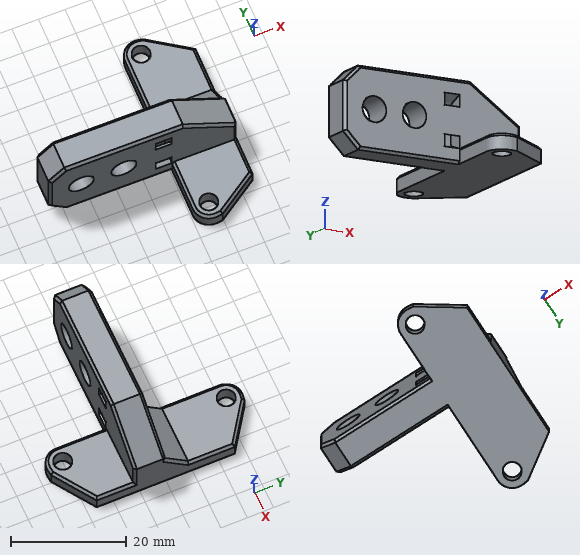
import cadquery as cq
import math

length = 35.27
width = 37.05
height = 15.2
edge_chamfer = 0.52

wall_thickness = 6.0
end_bevel = 3.0
slope_start_x = 25.25
slope_end_z = 8.3
wall_hole_diameter = 4.7
wall_hole_xs = (6.0, 14.0)
mid_z = height / 2

flange_left_x = 23.05
flange_thickness = 3.0
flange_front_y = -12.52
flange_back_y = flange_front_y + width
ear_radius = 3.0
ear_center_x = flange_left_x + ear_radius
ear_flat = 0.35
ear_hole_diameter = 3.3
taper_end_inset = 5.4
taper_start_inset = 0.15
taper_start_x = 27.5
gusset_run = 4.45

channel_left_x = 20.0
channel_width = 3.0
channel_outer = 4.85
channel_gap = 2.22
channel_depth = 3.15
channel_radius = 1.05
channel_slope = math.radians(20)


def make_wall():
    """Bevelled upright plate with chamfered edges around both faces."""
    outline = [
        (0, end_bevel),
        (end_bevel, 0),
        (length, 0),
        (length, slope_end_z),
        (slope_start_x, height),
        (end_bevel, height),
        (0, height - end_bevel),
    ]
    plate = cq.Workplane("XZ").polyline(outline).close().extrude(-wall_thickness)
    return plate.faces("<Y or >Y").edges().chamfer(edge_chamfer)


def make_flange():
    """Base plate with two rounded ears, chamfered around its top face."""
    diagonal = ear_radius * math.sqrt(0.5)
    front_center_y = flange_front_y + ear_radius
    back_center_y = flange_back_y - ear_radius
    flat_end_x = ear_center_x + ear_flat
    return (
        cq.Workplane("XY")
        .moveTo(flange_left_x, front_center_y)
        .threePointArc(
            (ear_center_x - diagonal, front_center_y - diagonal),
            (ear_center_x, flange_front_y),
        )
        .lineTo(flat_end_x, flange_front_y)
        .lineTo(taper_start_x, flange_front_y + taper_start_inset)
        .lineTo(length, flange_front_y + taper_end_inset)
        .lineTo(length, flange_back_y - taper_end_inset)
        .lineTo(taper_start_x, flange_back_y - taper_start_inset)
        .lineTo(flat_end_x, flange_back_y)
        .lineTo(ear_center_x, flange_back_y)
        .threePointArc(
            (ear_center_x - diagonal, back_center_y + diagonal),
            (flange_left_x, back_center_y),
        )
        .close()
        .extrude(flange_thickness)
        .faces(">Z")
        .edges()
        .chamfer(edge_chamfer)
    )


def make_gusset():
    """45 degree brace between the flange and the back of the wall."""
    toe_y = wall_thickness + gusset_run + flange_thickness
    inner_y = wall_thickness - edge_chamfer
    return (
        cq.Workplane("YZ", origin=(flange_left_x, 0, 0))
        .polyline([(inner_y, 0), (toe_y, 0), (inner_y, toe_y - inner_y)])
        .close()
        .extrude(length - flange_left_x)
        .faces(">(0, 1, 1)")
        .edges("not |X")
        .chamfer(edge_chamfer)
    )


def channel_plug(half_height, depth, radius):
    """Solid narrowing from the -Y face to a flat end with rounded corners."""
    end_half_height = half_height - depth * math.tan(channel_slope)
    return (
        cq.Workplane("YZ", origin=(channel_left_x, 0, mid_z))
        .polyline(
            [
                (0, -half_height),
                (depth, -end_half_height),
                (depth, end_half_height),
                (0, half_height),
            ]
        )
        .close()
        .extrude(channel_width)
        .faces(">Y")
        .edges("|X")
        .fillet(radius)
    )


def make_channel():
    outer = channel_plug(channel_outer, channel_depth, channel_radius)
    inner_half_height = channel_outer - channel_gap
    inner_depth = channel_depth - channel_gap
    return outer.cut(channel_plug(inner_half_height, inner_depth, channel_radius))


wall_holes = (
    cq.Workplane("XZ")
    .pushPoints([(x, mid_z) for x in wall_hole_xs])
    .circle(wall_hole_diameter / 2)
    .extrude(-wall_thickness)
)
ear_holes = (
    cq.Workplane("XY")
    .pushPoints(
        [
            (ear_center_x, flange_front_y + ear_radius),
            (ear_center_x, flange_back_y - ear_radius),
        ]
    )
    .circle(ear_hole_diameter / 2)
    .extrude(flange_thickness)
)

result = make_wall().union(make_flange()).union(make_gusset())
result = result.cut(wall_holes).cut(ear_holes).cut(make_channel())